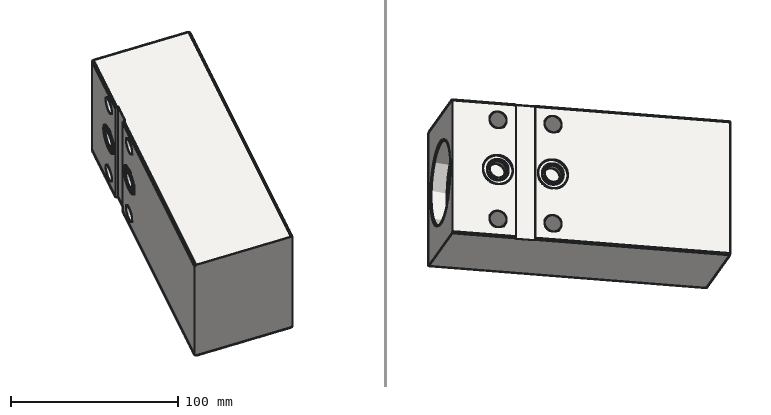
import cadquery as cq

length = 171.0
depth = 63.0
height = 85.0
edge_chamfer = 1.0

groove_start = 39.0
groove_width = 12.1
groove_depth = 1.7

bore_diameter = 40.0
bore_end_wall = 20.5
counterbore_diameter = 51.0
counterbore_depth = 10.0
mouth_chamfer = 0.7

column_positions = (28.0, 61.9)
bolt_hole_diameter = 10.5
bolt_hole_spacing = 63.0

port_diameter = 10.3
port_depth = 5.0
seal_outer_diameter = 18.3
seal_inner_diameter = 13.2
seal_depth = 1.2

mid_y = depth / 2
mid_z = height / 2
bore_depth = length - bore_end_wall


def rod_x(diameter, reach):
    """Cylinder on the bore axis, running from the -X end into the block."""
    return cq.Workplane("YZ", origin=(0, mid_y, mid_z)).circle(diameter / 2).extrude(reach)


def rod_y(x, z, diameter, reach):
    """Cylinder running from the front face toward +Y."""
    return cq.Workplane("XZ", origin=(x, 0, z)).circle(diameter / 2).extrude(-reach)


def make_block():
    block = cq.Workplane("XY").box(length, depth, height, centered=False)
    return block.edges("|X").chamfer(edge_chamfer)


def make_groove():
    groove = cq.Workplane("XY").box(groove_width, groove_depth, height, centered=False)
    return groove.translate((groove_start, 0, 0))


def make_bore():
    counterbore = rod_x(counterbore_diameter, counterbore_depth)
    mouth_radius = counterbore_diameter / 2 + mouth_chamfer
    mouth = cq.Workplane(
        cq.Solid.makeCone(
            mouth_radius,
            counterbore_diameter / 2,
            mouth_chamfer,
            cq.Vector(0, mid_y, mid_z),
            cq.Vector(1, 0, 0),
        )
    )
    return rod_x(bore_diameter, bore_depth).union(counterbore).union(mouth)


def make_port(x):
    """Blind port inside an annular seal groove; the land between them stays level with the face."""
    seal_groove = rod_y(x, mid_z, seal_outer_diameter, seal_depth)
    land = rod_y(x, mid_z, seal_inner_diameter, seal_depth)
    port = rod_y(x, mid_z, port_diameter, port_depth)
    return seal_groove.cut(land).union(port)


result = make_block().cut(make_groove()).cut(make_bore())
for column_x in column_positions:
    result = result.cut(make_port(column_x))
    for side in (-1, 1):
        hole_z = mid_z + side * bolt_hole_spacing / 2
        result = result.cut(rod_y(column_x, hole_z, bolt_hole_diameter, depth))